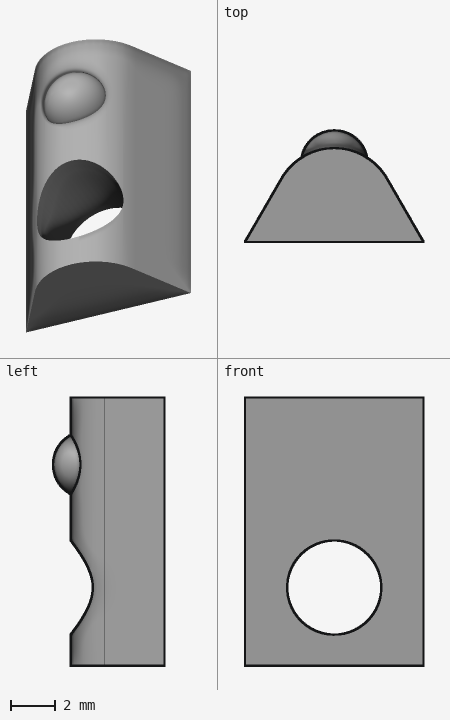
import cadquery as cq
import math

body_width = 8.0
body_height = 12.0
side_angle = 60.0
shoulder_depth = 2.7
crest_depth = 4.2

hole_diameter = 4.2
hole_height = 3.5

ball_radius = 1.5
ball_tip_depth = 5.0
ball_height = 9.0


def make_ball():
    """Full sphere centred on the middle plane of the body."""
    ball_center = (0, ball_tip_depth - ball_radius, ball_height)
    return cq.Workplane("XZ", origin=ball_center).sphere(ball_radius)


def make_body_profile():
    """Flat back, two straight sloping sides and a crest arc between their shoulders."""
    half_width = body_width / 2
    shoulder_half_width = half_width - shoulder_depth / math.tan(math.radians(side_angle))
    return (
        cq.Workplane("XY")
        .moveTo(-half_width, 0)
        .lineTo(half_width, 0)
        .lineTo(shoulder_half_width, shoulder_depth)
        .threePointArc((0, crest_depth), (-shoulder_half_width, shoulder_depth))
        .close()
    )


def make_body():
    """Extruded profile with the cross hole and a seat that matches the ball."""
    blank = make_body_profile().extrude(body_height)
    cross_hole = (
        cq.Workplane("XZ")
        .center(0, hole_height)
        .circle(hole_diameter / 2)
        .extrude(-crest_depth)
    )
    return blank.cut(cross_hole).cut(make_ball())


body = make_body()
ball = make_ball()
result = cq.Compound.makeCompound([body.solids().val(), ball.val()])